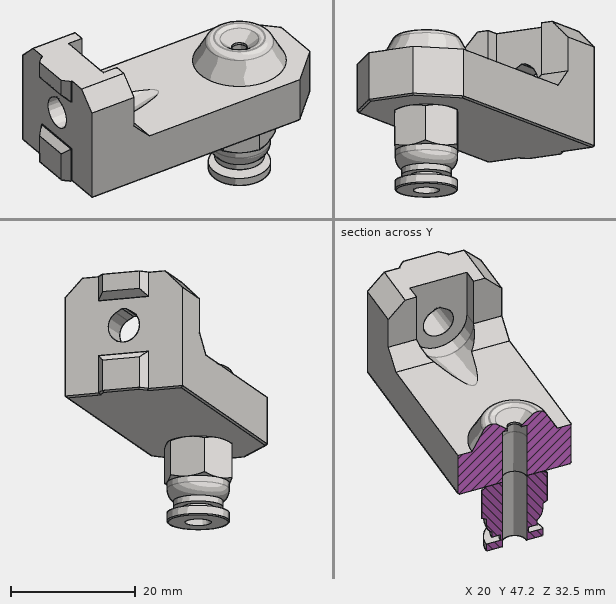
import cadquery as cq
import math

width = 20.0
arm_length = 45.95
arm_thickness = 8.0
height = 19.5
wall_thickness = 8.15
inner_corner_chamfer = 3.0
rear_corner_chamfer = 5.85
wall_corner_chamfer = 3.0
bottom_chamfer = 0.3

key_depth = 1.3
key_width = 8.5
key_straight_depth = 0.2
key_taper = key_depth - key_straight_depth
upper_key_height = 4.0
lower_key_height = 6.45

screw_z = 11.0
screw_hole_diameter = 5.3
screw_hole_roof_angle = 30
screw_hole_roof_height = 2.9
head_slot_diameter = 10.0
head_slot_floor_y = 5.55
groove_taper_angle = 10
groove_length = 18.9

nozzle_y = 35.1
nozzle_base_diameter = 15.05
nozzle_height = 4.45
nozzle_wall_angle = 61
tip_rounding = 1.5
mouth_rounding = 1.4
countersink_diameter = 6.2
countersink_angle = 40
orifice_diameter = 2.5
orifice_length = 0.4
bore_diameter = 4.2

hex_across_flats = 10.0
hex_chamfer_angle = 30
hex_depth = 6.5
shoulder_depth = 7.5
dome_depth = 9.5
collar_depth = 10.5
neck_depth = 11.5
fitting_depth = 13.0
shoulder_diameter = 10.0
collar_diameter = 8.0
neck_diameter = 5.0
release_ring_diameter = 10.0
release_ring_chamfer = 0.2


def revolve_about_z(profile, y):
    """Revolve an (r, z) half profile about a vertical axis at the given Y."""
    return profile.close().revolve(360, (0, 0, 0), (0, 1, 0)).translate((0, y, 0))


def make_arm_and_wall():
    side = (
        cq.Workplane("YZ")
        .polyline([
            (0, 0),
            (arm_length, 0),
            (arm_length, arm_thickness),
            (wall_thickness + inner_corner_chamfer, arm_thickness),
            (wall_thickness, arm_thickness + inner_corner_chamfer),
            (wall_thickness, height),
            (0, height),
        ])
        .close()
        .extrude(width / 2, both=True)
    )
    side = side.edges("|Z").edges(">Y").chamfer(rear_corner_chamfer)
    return side.edges("|Y").edges(">Z").chamfer(wall_corner_chamfer)


def make_key(bottom, top, tapered_end):
    """Key on the wall face, tapered on both sides and at its upper or lower end."""
    middle = (bottom + top) / 2
    block = (
        cq.Workplane("XY")
        .box(key_width, key_depth, top - bottom)
        .translate((0, -key_depth / 2, middle))
    )
    return block.faces("<Y").edges("|Z or " + tapered_end).chamfer(key_taper)


def make_screw_hole():
    """Round hole with a gable roof tangent to it and cut off flat, running through the wall along Y."""
    radius = screw_hole_diameter / 2
    roof = math.radians(screw_hole_roof_angle)
    tangent_x = radius * math.sin(roof)
    tangent_z = radius * math.cos(roof)
    ridge_half_width = (radius / math.cos(roof) - screw_hole_roof_height) / math.tan(roof)
    outline = (
        cq.Workplane("XZ", origin=(0, 0, screw_z))
        .moveTo(-tangent_x, tangent_z)
        .threePointArc((0, -radius), (tangent_x, tangent_z))
        .lineTo(ridge_half_width, screw_hole_roof_height)
        .lineTo(-ridge_half_width, screw_hole_roof_height)
        .close()
    )
    return outline.extrude(-wall_thickness)


def make_head_slot():
    """Flat-floored slot for the screw head, round below the screw axis and open above it."""
    slot_length = wall_thickness - head_slot_floor_y
    plane = cq.Workplane("XZ", origin=(0, head_slot_floor_y, screw_z))
    round_part = plane.circle(head_slot_diameter / 2).extrude(-slot_length)
    open_part = (
        cq.Workplane("XY")
        .box(head_slot_diameter, slot_length, height, centered=(True, False, False))
        .translate((0, head_slot_floor_y, screw_z))
    )
    return round_part.union(open_part)


def make_tool_groove():
    """Cone along the screw axis, narrowing away from the wall."""
    start_radius = head_slot_diameter / 2
    end_radius = start_radius - groove_length * math.tan(math.radians(groove_taper_angle))
    cone = cq.Solid.makeCone(
        start_radius,
        end_radius,
        groove_length,
        cq.Vector(0, wall_thickness, screw_z),
        cq.Vector(0, 1, 0),
    )
    return cq.Workplane(obj=cone)


def make_nozzle():
    wall = math.radians(nozzle_wall_angle)
    sink = math.radians(countersink_angle)
    top = arm_thickness + nozzle_height
    base_radius = nozzle_base_diameter / 2
    bore_radius = bore_diameter / 2
    orifice_radius = orifice_diameter / 2
    sink_radius = countersink_diameter / 2

    cone_end_z = top - tip_rounding * (1 - math.cos(wall))
    cone_end_r = base_radius - (cone_end_z - arm_thickness) / math.tan(wall)
    tip_r = cone_end_r - tip_rounding * math.sin(wall)
    tip_mid = (
        tip_r + tip_rounding * math.sin(wall / 2),
        top - tip_rounding * (1 - math.cos(wall / 2)),
    )

    sink_start_z = top - mouth_rounding * (1 - math.cos(sink))
    mouth_r = sink_radius + mouth_rounding * math.sin(sink)
    mouth_mid = (
        mouth_r - mouth_rounding * math.sin(sink / 2),
        top - mouth_rounding * (1 - math.cos(sink / 2)),
    )
    sink_end_z = sink_start_z - (sink_radius - orifice_radius) * math.tan(sink)
    orifice_end_z = sink_end_z - orifice_length

    profile = (
        cq.Workplane("XZ")
        .moveTo(bore_radius, 0)
        .lineTo(bore_radius, orifice_end_z)
        .lineTo(orifice_radius, orifice_end_z)
        .lineTo(orifice_radius, sink_end_z)
        .lineTo(sink_radius, sink_start_z)
        .threePointArc(mouth_mid, (mouth_r, top))
        .lineTo(tip_r, top)
        .threePointArc(tip_mid, (cone_end_r, cone_end_z))
        .lineTo(base_radius, arm_thickness)
        .lineTo(base_radius, 0)
    )
    return revolve_about_z(profile, nozzle_y)


def make_bracket():
    bracket = make_arm_and_wall()
    bracket = bracket.union(make_key(0, lower_key_height, ">Z"))
    bracket = bracket.union(make_key(height - upper_key_height, height, "<Z"))
    bracket = bracket.faces("<Z").edges().chamfer(bottom_chamfer)
    bore = cq.Workplane("XY").center(0, nozzle_y).circle(bore_diameter / 2).extrude(height)
    bracket = bracket.cut(bore).union(make_nozzle())
    return bracket.cut(make_screw_hole()).cut(make_head_slot()).cut(make_tool_groove())


def make_hex_nut():
    """Hexagon with two flats facing front and rear, its corners turned off at both ends."""
    corner_radius = hex_across_flats / math.sqrt(3)
    flat_radius = hex_across_flats / 2
    chamfer_height = (corner_radius - flat_radius) * math.tan(math.radians(hex_chamfer_angle))
    hexagon = cq.Workplane("XY").polygon(6, 2 * corner_radius).extrude(-hex_depth)
    turned = (
        cq.Workplane("XY")
        .circle(corner_radius)
        .extrude(-hex_depth)
        .faces("<Z or >Z")
        .chamfer(chamfer_height, corner_radius - flat_radius)
    )
    return hexagon.intersect(turned).translate((0, nozzle_y, 0))


def make_fitting_barrel():
    """Shoulder, dome, collar, neck and release ring, turned about the bore axis."""
    bore_radius = bore_diameter / 2
    shoulder_radius = shoulder_diameter / 2
    collar_radius = collar_diameter / 2
    neck_radius = neck_diameter / 2
    ring_radius = release_ring_diameter / 2
    profile = (
        cq.Workplane("XZ")
        .moveTo(bore_radius, -hex_depth)
        .lineTo(shoulder_radius, -hex_depth)
        .lineTo(shoulder_radius, -shoulder_depth)
        .tangentArcPoint((collar_radius, -dome_depth), relative=False)
        .lineTo(collar_radius, -collar_depth)
        .lineTo(neck_radius, -collar_depth)
        .lineTo(neck_radius, -neck_depth)
        .lineTo(ring_radius, -neck_depth)
        .lineTo(ring_radius, -fitting_depth + release_ring_chamfer)
        .lineTo(ring_radius - release_ring_chamfer, -fitting_depth)
        .lineTo(bore_radius, -fitting_depth)
    )
    return revolve_about_z(profile, nozzle_y)


def make_fitting():
    bore = cq.Workplane("XY").center(0, nozzle_y).circle(bore_diameter / 2).extrude(-fitting_depth)
    return make_hex_nut().cut(bore).union(make_fitting_barrel())


bracket = make_bracket()
fitting = make_fitting()
result = cq.Compound.makeCompound([bracket.val(), fitting.val()])